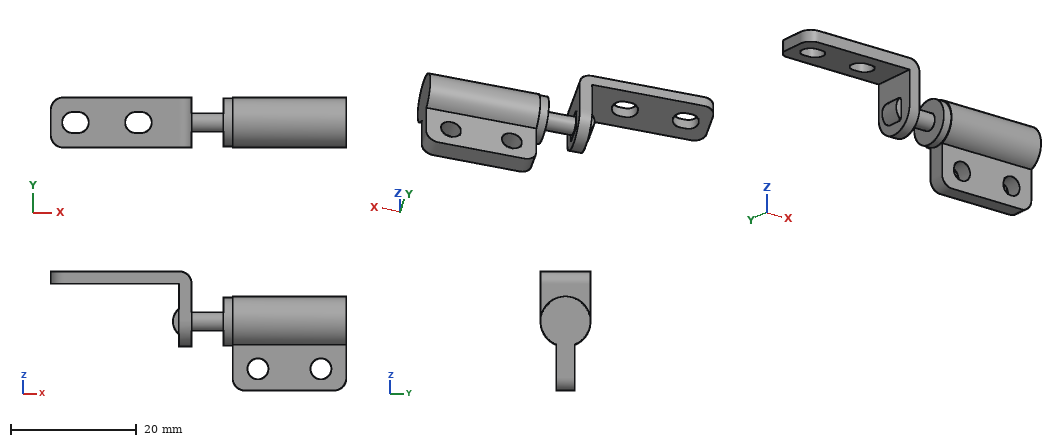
import cadquery as cq

overall_length = 47.0
width = 8.0
hole_diameter = 3.3
hole_pitch = 10.0
corner_radius = 2.0

bracket_length = 22.4
bracket_top = 8.0
bracket_thickness = 2.0
bend_radius = 1.97
slot_length = 4.2
first_slot_x = 3.95

pin_diameter = 3.0
head_width = 3.6
head_height = 4.0
head_projection = 1.0
head_corner_radius = 0.6

collar_diameter = 7.7
collar_length = 1.45

housing_length = 18.1
tab_thickness = 3.0
tab_bottom = -11.0
tab_hole_z = -7.5
tab_hole_end_distance = 4.05

lug_face_x = bracket_length - bracket_thickness
housing_start_x = overall_length - housing_length
collar_start_x = housing_start_x - collar_length


def cylinder_along_x(diameter, start_x, end_x):
    return cq.Workplane("YZ").workplane(offset=start_x).circle(diameter / 2).extrude(end_x - start_x)


def make_tenon(start_x, end_x):
    """Rounded rectangular bar that keys the pin to the bracket."""
    return (
        cq.Workplane("YZ")
        .workplane(offset=start_x)
        .rect(head_width, head_height)
        .extrude(end_x - start_x)
        .edges("|X")
        .fillet(head_corner_radius)
    )


def make_bracket():
    plate = (
        cq.Workplane("XY")
        .workplane(offset=bracket_top - bracket_thickness)
        .center(bracket_length / 2, 0)
        .rect(bracket_length, width)
        .extrude(bracket_thickness)
        .edges("|Z and <X")
        .fillet(corner_radius)
    )
    lug = (
        cq.Workplane("YZ")
        .workplane(offset=lug_face_x)
        .moveTo(-width / 2, bracket_top)
        .lineTo(-width / 2, 0)
        .threePointArc((0, -width / 2), (width / 2, 0))
        .lineTo(width / 2, bracket_top)
        .close()
        .extrude(bracket_thickness)
    )
    bracket = plate.union(lug).edges("|Y and >X and >Z").fillet(bend_radius)
    slots = (
        cq.Workplane("XY")
        .workplane(offset=bracket_top - bracket_thickness)
        .pushPoints([(first_slot_x, 0), (first_slot_x + hole_pitch, 0)])
        .slot2D(slot_length, hole_diameter)
        .extrude(bracket_thickness)
    )
    return bracket.cut(slots).cut(make_tenon(lug_face_x, bracket_length))


def make_pin():
    crown_radius = ((head_height / 2) ** 2 + head_projection**2) / (2 * head_projection)
    head_tip_x = lug_face_x - head_projection
    crown = (
        cq.Workplane("XZ")
        .center(head_tip_x + crown_radius, 0)
        .circle(crown_radius)
        .extrude(head_width / 2, both=True)
    )
    head = make_tenon(head_tip_x, lug_face_x).intersect(crown)
    tenon = make_tenon(lug_face_x, bracket_length)
    shank = cylinder_along_x(pin_diameter, bracket_length, housing_start_x)
    return head.union(tenon).union(shank)


def make_collar():
    disc = cylinder_along_x(collar_diameter, collar_start_x, housing_start_x)
    return disc.cut(cylinder_along_x(pin_diameter, collar_start_x, housing_start_x))


def make_housing():
    barrel = cylinder_along_x(width, housing_start_x, overall_length)
    tab = (
        cq.Workplane("XZ")
        .center(housing_start_x + housing_length / 2, tab_bottom / 2)
        .rect(housing_length, -tab_bottom)
        .extrude(tab_thickness / 2, both=True)
        .edges("|Y and <Z")
        .fillet(corner_radius)
    )
    last_hole_x = overall_length - tab_hole_end_distance
    holes = (
        cq.Workplane("XZ")
        .pushPoints([(last_hole_x - hole_pitch, tab_hole_z), (last_hole_x, tab_hole_z)])
        .circle(hole_diameter / 2)
        .extrude(tab_thickness / 2, both=True)
    )
    return barrel.union(tab).cut(holes)


bracket = make_bracket()
pin = make_pin()
collar = make_collar()
housing = make_housing()

result = cq.Compound.makeCompound([bracket.val(), pin.val(), collar.val(), housing.val()])